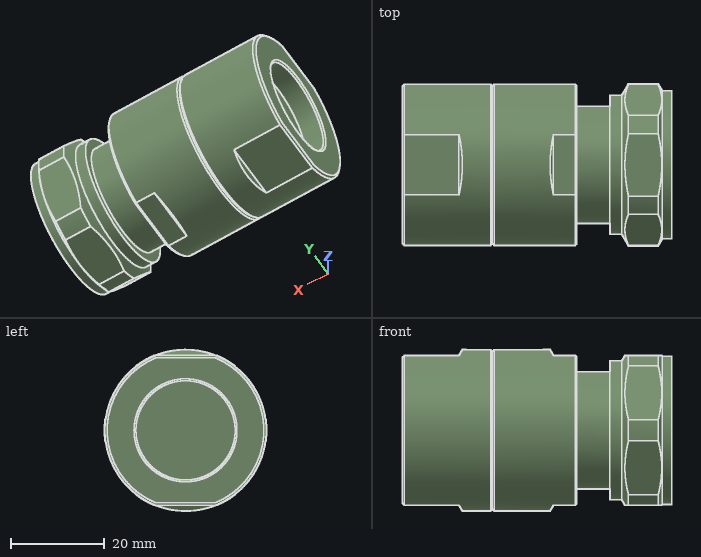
import cadquery as cq
import math

total_length = 57.6
across_flats = 32.0

body_diameter = 34.5
body_radius = body_diameter / 2
body_length = 37.3
joint_position = 19.3
front_chamfer = 0.5
rear_chamfer = 0.4
joint_chamfer = 0.4

front_flat_length = 12.15
rear_flat_length = 5.0
runout_angle = 60.0
cutter_margin = 0.6

bore_radius = 10.6
bore_depth = 5.0
bore_chamfer = 0.4

neck_radius = 12.55
collar_radius = 14.85
collar_start = 44.35
end_ring_radius = 15.85

nut_start = 46.9
nut_end = 55.5
nut_corner_radius = 17.35
nut_cone_angle = 60.0


def cylinder(radius, start, end):
    """Solid cylinder about the X axis between two X positions."""
    return cq.Workplane("YZ").workplane(offset=start).circle(radius).extrude(end - start)


def flat_cutter(length):
    """Block above the flat, from X = 0 to the run-out that climbs away in +X."""
    flat_height = across_flats / 2
    cutter_top = body_radius + cutter_margin
    runout = (cutter_top - flat_height) / math.tan(math.radians(runout_angle))
    return (
        cq.Workplane("XZ")
        .moveTo(0, flat_height)
        .lineTo(length, flat_height)
        .lineTo(length + runout, cutter_top)
        .lineTo(0, cutter_top)
        .close()
        .extrude(body_radius, both=True)
    )


def flatted_half(length, flat_length, end_chamfer):
    """Half body with its flatted outer end at X = 0 and its joint face at X = length."""
    half = cylinder(body_radius, 0, length).faces(">X").chamfer(joint_chamfer)
    cutter = flat_cutter(flat_length)
    half = half.cut(cutter).cut(cutter.mirror("XY"))
    return half.faces("<X").chamfer(end_chamfer)


def hexagon_nut():
    """Hexagon with flats facing +Z and -Z, trimmed by a double-coned barrel."""
    corner_diameter = across_flats / math.cos(math.radians(30))
    hexagon = (
        cq.Workplane("YZ")
        .workplane(offset=nut_start)
        .polygon(6, corner_diameter)
        .extrude(nut_end - nut_start)
    )
    slope = math.tan(math.radians(nut_cone_angle))
    front_cone = (nut_corner_radius - collar_radius) / slope
    rear_cone = (nut_corner_radius - end_ring_radius) / slope
    barrel = (
        cq.Workplane("XY")
        .moveTo(nut_start, 0)
        .lineTo(nut_start, collar_radius)
        .lineTo(nut_start + front_cone, nut_corner_radius)
        .lineTo(nut_end - rear_cone, nut_corner_radius)
        .lineTo(nut_end, end_ring_radius)
        .lineTo(nut_end, 0)
        .close()
        .revolve(360, (0, 0, 0), (1, 0, 0))
    )
    return hexagon.intersect(barrel)


def bore_tool():
    """Bore volume with a 45 degree lead-in at the open face."""
    lead_in = (
        cq.Workplane("XY")
        .lineTo(0, bore_radius + bore_chamfer)
        .lineTo(bore_chamfer, bore_radius)
        .lineTo(bore_chamfer, 0)
        .close()
        .revolve(360, (0, 0, 0), (1, 0, 0))
    )
    return cylinder(bore_radius, 0, bore_depth).union(lead_in)


front_half = flatted_half(joint_position, front_flat_length, front_chamfer)
rear_half = (
    flatted_half(body_length - joint_position, rear_flat_length, rear_chamfer)
    .mirror("YZ")
    .translate((body_length, 0, 0))
)
neck = cylinder(neck_radius, body_length, collar_start)
collar = cylinder(collar_radius, collar_start, nut_start)
end_ring = cylinder(end_ring_radius, nut_end, total_length)

result = front_half.union(rear_half).union(neck).union(collar).union(hexagon_nut()).union(end_ring)
result = result.cut(bore_tool())